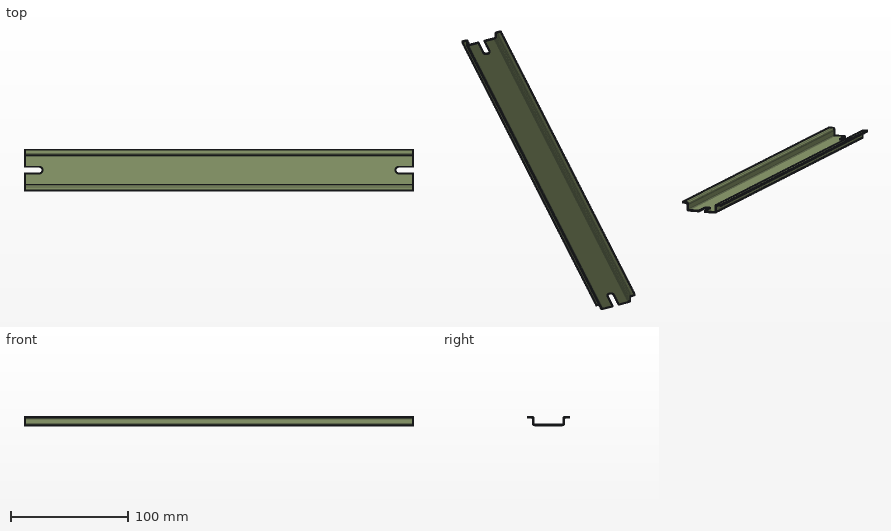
import cadquery as cq

length = 331.0
overall_width = 35.0
height = 7.5
thickness = 1.0
channel_outer_width = 27.0

flange_inner_radius = 0.8
flange_outer_radius = flange_inner_radius + thickness

web_inner_radius = 0.5
web_outer_radius = 2.0

slot_width = 5.5
slot_depth = 15.0

half_length = length / 2
half_width = overall_width / 2
wall_outer_y = channel_outer_width / 2
wall_inner_y = wall_outer_y - thickness
flange_underside_z = height - thickness


def make_sharp_half():
    """The +Y half of the rail, before its bends are rounded."""
    half_section = [
        (0, 0),
        (wall_outer_y, 0),
        (wall_outer_y, flange_underside_z),
        (half_width, flange_underside_z),
        (half_width, height),
        (wall_inner_y, height),
        (wall_inner_y, thickness),
        (0, thickness),
    ]
    return cq.Workplane("YZ").polyline(half_section).close().extrude(half_length, both=True)


def round_bend(body, y, z, radius):
    """Fillet the lengthwise edge that runs through (y, z)."""
    edge_nearest_corner = cq.selectors.NearestToPointSelector((0, y, z))
    return body.edges("|X").edges(edge_nearest_corner).fillet(radius)


def make_rail():
    """Both halves of the rail joined, with all bends rounded."""
    half_rail = make_sharp_half()
    half_rail = round_bend(half_rail, wall_outer_y, 0, web_outer_radius)
    half_rail = round_bend(half_rail, wall_inner_y, thickness, web_inner_radius)
    half_rail = round_bend(half_rail, wall_outer_y, flange_underside_z, flange_inner_radius)
    half_rail = round_bend(half_rail, wall_inner_y, height, flange_outer_radius)
    return half_rail.union(half_rail.mirror("XZ")).clean()


def make_end_slot(side):
    """Slot cutter centred on one end of the rail: side is -1 for -X, +1 for +X."""
    return (
        cq.Workplane("XY")
        .center(side * half_length, 0)
        .slot2D(2 * slot_depth, slot_width)
        .extrude(thickness)
    )


result = make_rail()
for side in (-1, 1):
    result = result.cut(make_end_slot(side))